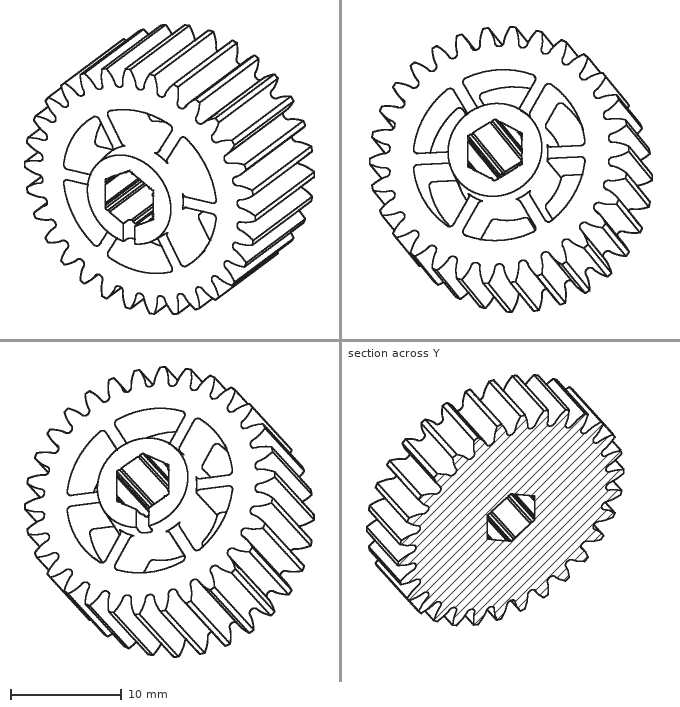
import cadquery as cq
import math

tooth_count = 30
module = 0.75
pressure_angle = math.radians(20)
tip_radius = 12
backlash = 0.05
flank_steps = 6

gear_width = 11.0
overall_length = 15.0
hub_end_radius = 4.35
draft_angle = 4.5

spoke_count = 6
spoke_width = 1.05
pocket_outer_radius = 8.0
web_thickness = 1.0
pocket_corner_radius = 0.4
hub_overlap = 0.012

hex_sides = 6
hex_across_flats = 5.0
rib_width = 0.22
rib_height = 0.07
rib_from_corner = 0.4

slot_width = 1.2
slot_depth = 1.18
slot_corner_radius = 0.3

hub_height = (overall_length - gear_width) / 2
pocket_depth = (gear_width - web_thickness) / 2
draft_slope = math.tan(math.radians(draft_angle))
hub_base_radius = hub_end_radius + hub_height * draft_slope
pitch_angle = 360 / tooth_count
pitch_radius = module * tooth_count / 2
base_radius = pitch_radius * math.cos(pressure_angle)


def polar(radius, degrees):
    """Point at a radius and an angle from the X axis."""
    angle = math.radians(degrees)
    return (radius * math.cos(angle), radius * math.sin(angle))


def involute(angle):
    """Involute function of an angle in radians."""
    return math.tan(angle) - angle


def tooth_half_angle(radius):
    """Half the angle, in degrees, that an involute tooth spans at a radius."""
    flank_angle = math.acos(base_radius / radius)
    involute_drop = involute(pressure_angle) - involute(flank_angle)
    pitch_half_angle = (math.pi * module / 2 - backlash) / (2 * pitch_radius)
    return math.degrees(pitch_half_angle + involute_drop)


def extruded(outline, length):
    """Prism along Y, centred on the middle of the gear, from an outline sketched in XZ."""
    return outline.extrude(length).translate((0, length / 2, 0))


def gear_blank():
    """Toothed rim: involute flanks, arc tips and fully rounded roots."""
    tip_roll = math.sqrt((tip_radius / base_radius) ** 2 - 1)
    rolls = [tip_roll * i / flank_steps for i in range(flank_steps + 1)]
    flank_radii = [base_radius * math.hypot(1, roll) for roll in rolls]
    outline = cq.Workplane("XZ").moveTo(*polar(base_radius, -tooth_half_angle(base_radius)))
    for tooth in range(tooth_count):
        middle = tooth * pitch_angle
        rising = [polar(r, middle - tooth_half_angle(r)) for r in flank_radii]
        falling = [polar(r, middle + tooth_half_angle(r)) for r in reversed(flank_radii)]
        next_foot = polar(base_radius, middle + pitch_angle - tooth_half_angle(base_radius))
        outline = (
            outline.spline(rising[1:], includeCurrent=True)
            .threePointArc(polar(tip_radius, middle), falling[0])
            .spline(falling[1:], includeCurrent=True)
            .tangentArcPoint(next_foot, relative=False)
        )
    return extruded(outline.close(), gear_width)


def hubs():
    """Two drafted hubs, each narrowing from the middle of the web to its end face."""
    middle_radius = hub_end_radius + overall_length / 2 * draft_slope
    return (
        cq.Workplane("XY")
        .moveTo(0, -overall_length / 2)
        .lineTo(hub_end_radius, -overall_length / 2)
        .lineTo(middle_radius, 0)
        .lineTo(hub_end_radius, overall_length / 2)
        .lineTo(0, overall_length / 2)
        .close()
        .revolve(360, (0, 0, 0), (0, 1, 0))
    )


def front_pocket():
    """Drafted pocket between two spokes, centred on +Z, cut from the -Y face."""
    draft_inset = pocket_depth * draft_slope
    inner_radius = hub_base_radius - hub_overlap
    ring = (
        cq.Workplane("XY", origin=(0, -gear_width / 2, 0))
        .moveTo(inner_radius, 0)
        .lineTo(pocket_outer_radius, 0)
        .lineTo(pocket_outer_radius - draft_inset, pocket_depth)
        .lineTo(inner_radius + draft_inset, pocket_depth)
        .close()
        .revolve(360, (0, 0, 0), (0, 1, 0))
    )
    half_sector = math.radians(180 / spoke_count)
    wedge_apex = spoke_width / 2 / math.sin(half_sector)
    wedge_end = 2 * pocket_outer_radius
    wedge_half_width = (wedge_end - wedge_apex) * math.tan(half_sector)
    wedge = (
        cq.Workplane("ZX", origin=(0, -gear_width / 2, 0))
        .polyline([(wedge_apex, 0), (wedge_end, -wedge_half_width), (wedge_end, wedge_half_width)])
        .close()
        .extrude(pocket_depth, taper=draft_angle)
    )
    return ring.intersect(wedge).edges("not(<Y or >Y)").fillet(pocket_corner_radius)


def hex_bore():
    """Hexagonal through bore with small ribs on each flat beside its corners."""
    corner_radius = hex_across_flats / math.sqrt(3)
    hexagon = cq.Workplane("XZ").polygon(hex_sides, 2 * corner_radius)
    bore = extruded(hexagon, overall_length).rotate((0, 0, 0), (0, 1, 0), 180 / hex_sides)
    rib_offset = corner_radius / 2 - rib_from_corner
    flat = hex_across_flats / 2
    for side in (-1, 1):
        rib_middle = side * rib_offset
        rib_outline = (
            cq.Workplane("XZ")
            .moveTo(flat, rib_middle - rib_width / 2)
            .threePointArc((flat - rib_height, rib_middle), (flat, rib_middle + rib_width / 2))
            .close()
        )
        rib = extruded(rib_outline, overall_length)
        for flat_index in range(hex_sides):
            bore = bore.cut(rib.rotate((0, 0, 0), (0, 1, 0), flat_index * 360 / hex_sides))
    return bore


def key_slot():
    """Slot across the -Z side of the front hub, open at its end face."""
    return (
        cq.Workplane("XY")
        .box(slot_width, slot_depth, hub_base_radius, centered=(True, False, False))
        .edges(">Y and |Z")
        .fillet(slot_corner_radius)
        .translate((0, -overall_length / 2, -hub_base_radius))
    )


body = gear_blank()
pocket = front_pocket()
for index in range(spoke_count):
    turned = pocket.rotate((0, 0, 0), (0, 1, 0), index * 360 / spoke_count)
    body = body.cut(turned).cut(turned.mirror("XZ"))

result = body.union(hubs()).cut(hex_bore()).cut(key_slot())